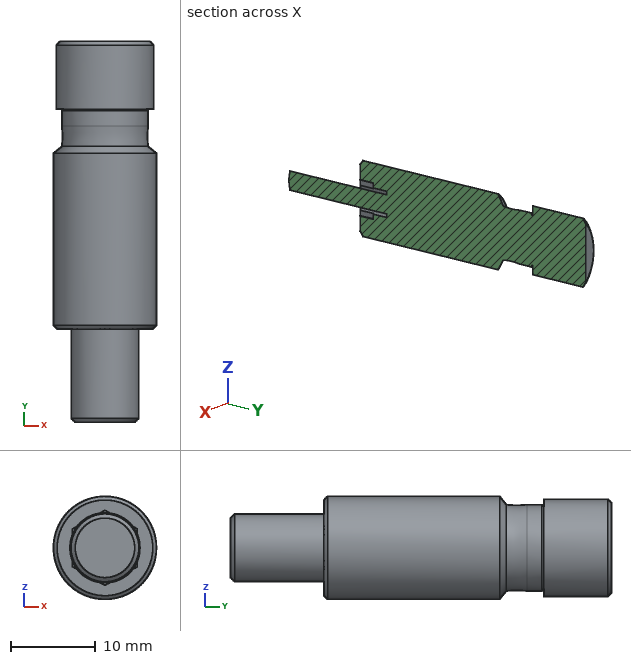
import cadquery as cq

length = 45.0
head_diameter = 11.5
neck_diameter = 10.2
body_diameter = 12.2
pin_diameter = 8.0

head_length = 8.0
neck_end_distance = 12.4
shoulder_length = 0.8
pin_length = 11.02

edge_chamfer = 0.45
pin_chamfer = 0.5
neck_chamfer = 0.22
groove_length = 2.45
groove_depth = 0.068

bore_diameter = 8.3
bore_depth = 4.0
hexagon_across_corners = 8.85
hexagon_depth = 2.0

head_end = length / 2
head_underside = head_end - head_length
neck_end = head_end - neck_end_distance
groove_start = neck_end + groove_length
pin_end = -length / 2
body_end = pin_end + pin_length


def make_shaft():
    """Revolve the half outline (radius, y) around the Y axis."""
    head_radius = head_diameter / 2
    neck_radius = neck_diameter / 2
    body_radius = body_diameter / 2
    pin_radius = pin_diameter / 2
    groove_middle = (groove_start + neck_end) / 2
    outline = (
        cq.Workplane("XY")
        .moveTo(0, head_end)
        .lineTo(head_radius - edge_chamfer, head_end)
        .lineTo(head_radius, head_end - edge_chamfer)
        .lineTo(head_radius, head_underside)
        .lineTo(neck_radius - neck_chamfer, head_underside)
        .lineTo(neck_radius, head_underside - neck_chamfer)
        .lineTo(neck_radius, groove_start)
        .threePointArc((neck_radius - groove_depth, groove_middle), (neck_radius, neck_end))
        .lineTo(body_radius, neck_end - shoulder_length)
        .lineTo(body_radius, body_end + edge_chamfer)
        .lineTo(body_radius - edge_chamfer, body_end)
        .lineTo(pin_radius, body_end)
        .lineTo(pin_radius, pin_end + pin_chamfer)
        .lineTo(pin_radius - pin_chamfer, pin_end)
        .lineTo(0, pin_end)
        .close()
    )
    return outline.revolve(360, (0, 0), (0, 1))


def body_end_plane():
    """Workplane on the body's end face at -Y; a negative extrusion goes into the body."""
    return cq.Workplane("XZ", origin=(0, body_end, 0))


def make_socket():
    """Bore and hexagon recess together, leaving the pin standing in the middle."""
    bore = body_end_plane().circle(bore_diameter / 2).extrude(-bore_depth)
    hexagon = (
        body_end_plane()
        .transformed(rotate=(0, 0, 90))
        .polygon(6, hexagon_across_corners)
        .extrude(-hexagon_depth)
    )
    pin_root = body_end_plane().circle(pin_diameter / 2).extrude(-bore_depth)
    return hexagon.union(bore).cut(pin_root)


result = make_shaft().cut(make_socket())